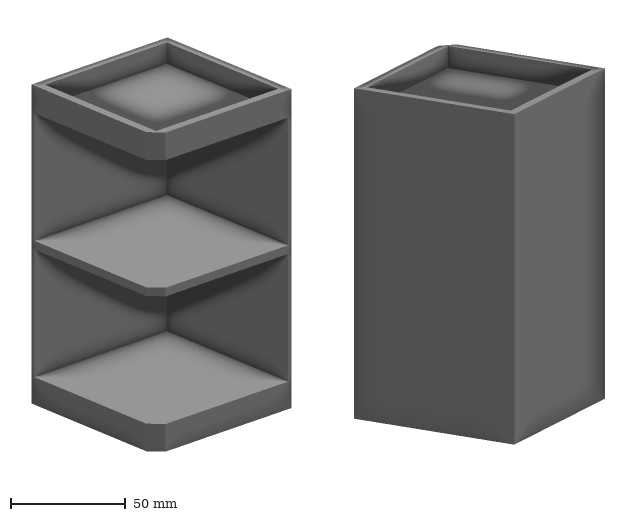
import cadquery as cq

height = 150.0
width = 80.0

wall = 2.0
shelf = 4.0
opening_height = 60.0
slab = (height - shelf - 2 * opening_height) / 2

rim = 4.0
tray_depth = 10.0

corner_chamfer = 6.0


def compartment(floor):
    """Space open to the front (-Y) and right (+X), standing on the given floor height."""
    return cq.Workplane("XY").box(
        width - wall, width - wall, opening_height, centered=False
    ).translate((wall, 0, floor))


body = cq.Workplane("XY").box(width, width, height, centered=False)
body = body.edges("|Z and >X and <Y").chamfer(corner_chamfer)

for level in range(2):
    body = body.cut(compartment(slab + level * (opening_height + shelf)))

tray_side = width - 2 * rim
tray = cq.Workplane("XY").box(tray_side, tray_side, tray_depth, centered=False)
result = body.cut(tray.translate((rim, rim, height - tray_depth)))